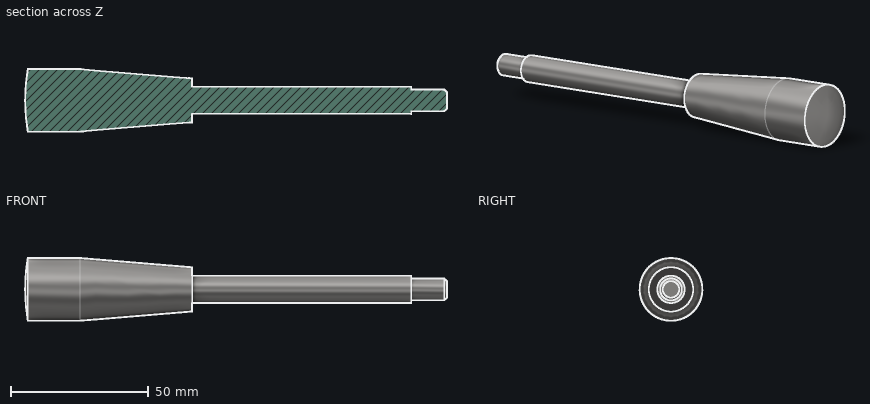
import cadquery as cq

overall_length = 154.0
grip_diameter = 23.0
grip_neck_diameter = 16.2
grip_length = 61.0
grip_straight_end = 20.0
dome_height = 1.0
rod_diameter = 10.0
pin_diameter = 8.0
pin_length = 13.0
pin_chamfer = 1.0

grip_radius = grip_diameter / 2
neck_radius = grip_neck_diameter / 2
rod_radius = rod_diameter / 2
pin_radius = pin_diameter / 2
pin_start = overall_length - pin_length

dome_radius = (grip_radius**2 + dome_height**2) / (2 * dome_height)
dome_mid_radius = grip_radius / 2
dome_mid_x = dome_radius - (dome_radius**2 - dome_mid_radius**2) ** 0.5


def make_grip():
    """Domed cylindrical grip that tapers towards the rod."""
    half_profile = (
        cq.Workplane("XZ")
        .moveTo(0, 0)
        .threePointArc((dome_mid_x, dome_mid_radius), (dome_height, grip_radius))
        .lineTo(grip_straight_end, grip_radius)
        .lineTo(grip_length, neck_radius)
        .lineTo(grip_length, 0)
        .close()
    )
    return half_profile.revolve(360, (0, 0, 0), (1, 0, 0))


def make_rod():
    """Plain rod between the grip and the end pin."""
    return (
        cq.Workplane("YZ", origin=(grip_length, 0, 0))
        .circle(rod_radius)
        .extrude(pin_start - grip_length)
    )


def make_pin():
    """Reduced end pin with a chamfered tip."""
    return (
        cq.Workplane("YZ", origin=(pin_start, 0, 0))
        .circle(pin_radius)
        .extrude(pin_length)
        .faces(">X")
        .chamfer(pin_chamfer)
    )


result = make_grip().union(make_rod()).union(make_pin())